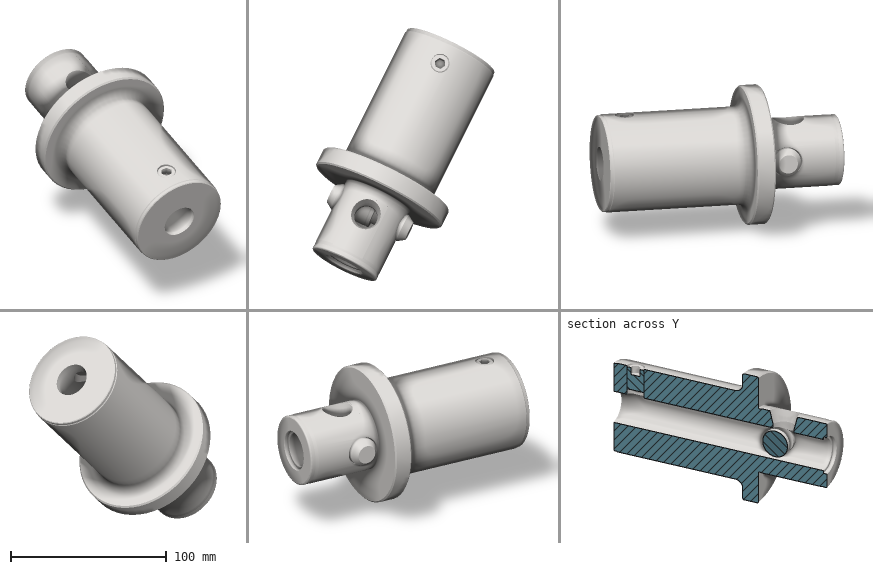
import cadquery as cq
import math


total_length = 156.0
spigot_radius = 23.0
spigot_end_fillet = 1.1
spigot_groove_end = 5.8
spigot_groove_depth = 0.2
relief_start = 47.1
relief_depth = 0.3
relief_fillet = 0.5
flange_start = 49.9
flange_thickness = 12.0
flange_diameter = 90.0
flange_chamfer = 1.0
shank_radius = 31.7
shank_fillet = 5.0
shank_step_start = 153.2
shank_step_length = 0.5
shank_step_depth = 0.39
shank_end_chamfer = 0.5

bore_radius = 10.9
counterbore_radius = 12.8
counterbore_depth = 2.5
bore_chamfer = 0.3

recess_width = 21.2
recess_end = 42.7
recess_depth = 0.08

access_x = 31.8
access_mouth_radius = 10.0
access_hole_radius = 7.5
access_half_angle = 15.0

pin_x = 38.0
pin_radius = 9.2
pin_tip_radius = 6.1
pin_tip_y = 28.1
pin_taper_length = 4.7
pin_groove_width = 1.4
pin_groove_depth = 0.2
stud_pin_inner_y = -2.8
stud_radius = 6.1
plain_pin_inner_y = -7.8
countersink_mouth_radius = 10.5
countersink_half_angle = 28.0

screw_x = 140.0
screw_radius = 6.1
screw_chamfer = 0.8
screw_recess = 0.8
screw_length = 16.0
hex_across_flats = 6.2
hex_depth = 5.0

cut_overrun = 1.5

flange_end = flange_start + flange_thickness
screw_top = shank_radius - screw_recess


def x_cylinder(radius, start, end):
    """Cylinder on the tool axis between two X positions."""
    return cq.Workplane("YZ").workplane(offset=start).circle(radius).extrude(end - start)


def turned_blank():
    """Revolve the outer outline of the housing about the tool axis."""
    flange_radius = flange_diameter / 2
    relief_radius = spigot_radius - relief_depth
    groove_middle = (spigot_end_fillet + spigot_groove_end) / 2
    step_radius = shank_radius - shank_step_depth
    return (
        cq.Workplane("XY")
        .lineTo(0, spigot_radius - spigot_end_fillet)
        .radiusArc((spigot_end_fillet, spigot_radius), spigot_end_fillet)
        .lineTo(groove_middle, spigot_radius - spigot_groove_depth)
        .lineTo(spigot_groove_end, spigot_radius)
        .lineTo(relief_start, spigot_radius)
        .lineTo(flange_start - relief_fillet, relief_radius)
        .radiusArc((flange_start, relief_radius + relief_fillet), -relief_fillet)
        .lineTo(flange_start, flange_radius - flange_chamfer)
        .lineTo(flange_start + flange_chamfer, flange_radius)
        .lineTo(flange_end - flange_chamfer, flange_radius)
        .lineTo(flange_end, flange_radius - flange_chamfer)
        .lineTo(flange_end, shank_radius + shank_fillet)
        .radiusArc((flange_end + shank_fillet, shank_radius), -shank_fillet)
        .lineTo(shank_step_start, shank_radius)
        .lineTo(shank_step_start + shank_step_length, step_radius)
        .lineTo(total_length - shank_end_chamfer, step_radius)
        .lineTo(total_length, step_radius - shank_end_chamfer)
        .lineTo(total_length, 0)
        .close()
        .revolve(360, (0, 0, 0), (1, 0, 0))
    )


def bore_cut():
    """Stepped bore along the whole housing, with a small chamfer at each step."""
    return (
        cq.Workplane("XY")
        .lineTo(0, counterbore_radius + bore_chamfer)
        .lineTo(bore_chamfer, counterbore_radius)
        .lineTo(counterbore_depth, counterbore_radius)
        .lineTo(counterbore_depth, bore_radius + bore_chamfer)
        .lineTo(counterbore_depth + bore_chamfer, bore_radius)
        .lineTo(total_length, bore_radius)
        .lineTo(total_length, 0)
        .close()
        .revolve(360, (0, 0, 0), (1, 0, 0))
    )


def recess_cut():
    """Shallow band on the top of the spigot, its floor concentric with the spigot."""
    band = cq.Workplane("XY").box(recess_end, recess_width, 2 * spigot_radius, centered=(False, True, False))
    return band.cut(x_cylinder(spigot_radius - recess_depth, 0, recess_end))


def tapered_hole(mouth_radius, hole_radius, half_angle):
    """Hole along Z: widest at the spigot surface, narrowing to a straight hole down to the tool axis."""
    slope = math.tan(math.radians(half_angle))
    taper_end = spigot_radius - (mouth_radius - hole_radius) / slope
    above = spigot_radius + cut_overrun
    return (
        cq.Workplane("XZ")
        .lineTo(hole_radius, 0)
        .lineTo(hole_radius, taper_end)
        .lineTo(mouth_radius + slope * cut_overrun, above)
        .lineTo(0, above)
        .close()
        .revolve(360, (0, 0, 0), (0, 1, 0))
    )


def access_cut():
    """Access hole, open into the bore."""
    return tapered_hole(access_mouth_radius, access_hole_radius, access_half_angle).translate((access_x, 0, 0))


def pin_hole_cuts():
    """Countersunk holes for the pins, one on each side of the spigot."""
    hole = tapered_hole(countersink_mouth_radius, pin_radius, countersink_half_angle)
    return [hole.rotate((0, 0, 0), (1, 0, 0), turn).translate((pin_x, 0, 0)) for turn in (-90, 90)]


def screw_hole_cut():
    """Radial hole from the top of the shank into the bore."""
    return cq.Workplane("XY").center(screw_x, 0).circle(screw_radius).extrude(shank_radius + cut_overrun)


def make_housing():
    """Turned body with its bore, top recess, access hole, screw hole and pin holes."""
    body = turned_blank().cut(recess_cut()).cut(bore_cut()).cut(access_cut()).cut(screw_hole_cut())
    for hole in pin_hole_cuts():
        body = body.cut(hole)
    return body


def revolve_about_pin_axis(outline):
    """Close a half outline and revolve it about the cross axis of the pins."""
    return outline.close().revolve(360, (0, 0, 0), (0, 1, 0)).translate((pin_x, 0, 0))


def make_stud_pin():
    """Pin on the +Y side, with a groove and a stud that reaches the plain pin."""
    groove_y = stud_pin_inner_y + 2 * pin_groove_width
    outline = (
        cq.Workplane("XY")
        .moveTo(0, plain_pin_inner_y)
        .lineTo(stud_radius, plain_pin_inner_y)
        .lineTo(stud_radius, stud_pin_inner_y)
        .lineTo(pin_radius, stud_pin_inner_y)
        .lineTo(pin_radius, groove_y - pin_groove_width)
        .threePointArc((pin_radius - pin_groove_depth, groove_y - pin_groove_width / 2), (pin_radius, groove_y))
        .lineTo(pin_radius, pin_tip_y - pin_taper_length)
        .lineTo(pin_tip_radius, pin_tip_y)
        .lineTo(0, pin_tip_y)
    )
    return revolve_about_pin_axis(outline)


def make_plain_pin():
    """Pin on the -Y side, flat at its inner end."""
    outline = (
        cq.Workplane("XY")
        .moveTo(0, plain_pin_inner_y)
        .lineTo(pin_radius, plain_pin_inner_y)
        .lineTo(pin_radius, pin_taper_length - pin_tip_y)
        .lineTo(pin_tip_radius, -pin_tip_y)
        .lineTo(0, -pin_tip_y)
    )
    return revolve_about_pin_axis(outline)


def make_set_screw():
    """Headless screw with a chamfered top and a hex socket, corners along Y."""
    hex_across_corners = hex_across_flats / math.cos(math.pi / 6)
    body = (
        cq.Workplane("XY")
        .workplane(offset=screw_top - screw_length)
        .circle(screw_radius)
        .extrude(screw_length)
        .faces(">Z")
        .chamfer(screw_chamfer)
    )
    socket = (
        cq.Workplane("XY")
        .workplane(offset=screw_top - hex_depth)
        .polygon(6, hex_across_corners)
        .extrude(hex_depth)
        .rotate((0, 0, 0), (0, 0, 1), 90)
    )
    return body.cut(socket).translate((screw_x, 0, 0))


housing = make_housing()
stud_pin = make_stud_pin()
plain_pin = make_plain_pin()
set_screw = make_set_screw()

result = cq.Compound.makeCompound([housing.val(), stud_pin.val(), plain_pin.val(), set_screw.val()])